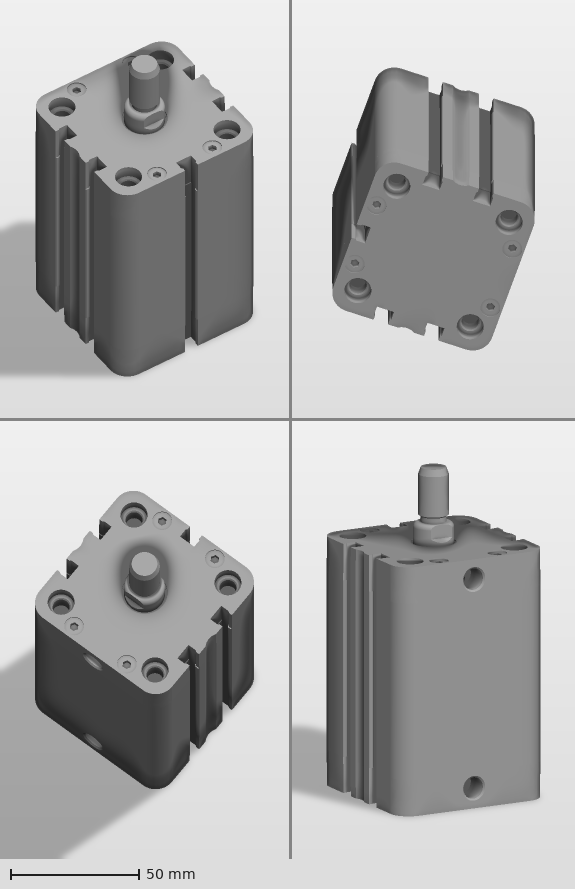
import cadquery as cq
import math

side = 65.5
corner_radius = 8.0
body_height = 100.0
cap_height = 14.5
barrel_height = body_height - 2 * cap_height
cap_draft_angle = 0.3

slot_offset = 10.4
slot_lip = 1.5
slot_cavity_width = 7.0
barrel_slot_opening = 5.2
barrel_slot_bevel = 0.4
barrel_slot_depth = 5.3
cap_slot_opening = barrel_slot_opening + 2 * barrel_slot_bevel
cap_slot_depth = 5.7
cutter_overrun = 1.3

groove_width = 6.9
groove_depth = 1.0
groove_radius = ((groove_width / 2) ** 2 + groove_depth**2) / (2 * groove_depth)

mount_offset = 23.1
counterbore_diameter = 10.5
counterbore_depth = 5.0
mount_thread_diameter = 6.6
mount_rim_diameter = 7.7
mount_hole_depth = 11.7

screw_x = 28.0
screw_y = 13.0
screw_head_diameter = 7.7
screw_recess_depth = 0.5
hex_across_flats = 3.1
hex_depth = 2.0

port_height = 8.0
port_diameter = 8.6
port_rim_diameter = 10.0
port_depth = 10.4
air_hole_diameter = 3.5
air_hole_offset = 2.2
air_hole_depth = 5.2

rod_top = 130.0
collar_diameter = 16.0
collar_top = 108.2
collar_fillet = 2.0
neck_diameter = 10.0
thread_bottom = 110.4
thread_diameter = 12.0
thread_tip_diameter = 10.0
thread_tip_height = 2.7
thread_end_height = 0.6
flat_spacing = 13.0
flat_bottom = 102.7
seal_diameter = 17.7
seal_rim_diameter = 18.0
seal_depth = 0.5
lip_diameter = 16.5
lip_depth = 1.0


def slot_cutter(opening, depth, height):
    """T-slot prism with its mouth at y = 0 and floor at y = depth, overrunning the mouth outward."""
    half_opening = opening / 2
    half_cavity = slot_cavity_width / 2
    shoulder = slot_lip + half_cavity - half_opening
    return (
        cq.Workplane("XY")
        .moveTo(-half_opening, -cutter_overrun)
        .lineTo(-half_opening, slot_lip)
        .lineTo(-half_cavity, shoulder)
        .lineTo(-half_cavity, depth)
        .lineTo(half_cavity, depth)
        .lineTo(half_cavity, shoulder)
        .lineTo(half_opening, slot_lip)
        .lineTo(half_opening, -cutter_overrun)
        .close()
        .extrude(height)
    )


def rounded_square(height, draft_angle):
    """Square prism with rounded corners, standing on z = 0 and narrowing upward by the draft."""
    outline = cq.Sketch().rect(side, side).vertices().fillet(corner_radius)
    return cq.Workplane("XY").placeSketch(outline).extrude(height, taper=draft_angle)


def cut_profile(block, height, slot):
    """Cut the five slots and two grooves along the sides of a block that stands on z = 0."""
    slot = slot.translate((0, -side / 2, 0))
    groove = (
        cq.Workplane("XY")
        .circle(groove_radius)
        .extrude(height)
        .translate((0, groove_depth - groove_radius - side / 2, 0))
    )
    slot_pair = slot.translate((-slot_offset, 0, 0)).union(slot.translate((slot_offset, 0, 0)))
    side_cutters = slot_pair.union(groove)
    for turn in (0, 180):
        block = block.cut(side_cutters.rotate((0, 0, 0), (0, 0, 1), turn))
    return block.cut(slot.rotate((0, 0, 0), (0, 0, 1), 90))


def cone(start_diameter, end_diameter, height):
    """Truncated cone rising from z = 0."""
    return cq.Workplane("XY").add(
        cq.Solid.makeCone(start_diameter / 2, end_diameter / 2, height)
    )


def mount_hole_cutter():
    """Counterbored hole going down from z = 0, with a bevelled inner rim."""
    bevel = (mount_rim_diameter - mount_thread_diameter) / 2
    counterbore = cq.Workplane("XY").circle(counterbore_diameter / 2).extrude(-counterbore_depth)
    hole = cq.Workplane("XY").circle(mount_thread_diameter / 2).extrude(-mount_hole_depth)
    rim = cone(mount_thread_diameter, mount_rim_diameter, bevel)
    return counterbore.union(hole).union(rim.translate((0, 0, -counterbore_depth - bevel)))


def screw_cutter():
    """Shallow round recess over a screw head with its hex socket, going down from z = 0."""
    recess = cq.Workplane("XY").circle(screw_head_diameter / 2).extrude(-screw_recess_depth)
    socket = (
        cq.Workplane("XY")
        .polygon(6, hex_across_flats, circumscribed=True)
        .extrude(-screw_recess_depth - hex_depth)
    )
    return recess.union(socket)


def port_cutter():
    """Bevelled blind port going in along +X from x = 0."""
    bevel = (port_rim_diameter - port_diameter) / 2
    hole = cq.Workplane("XY").circle(port_diameter / 2).extrude(port_depth)
    rim = cone(port_rim_diameter, port_diameter, bevel)
    return hole.union(rim).rotate((0, 0, 0), (0, 1, 0), 90)


def make_cap():
    """End cap with its outer face up at z = cap_height and its inner face on z = 0."""
    slot = slot_cutter(cap_slot_opening, cap_slot_depth, cap_height)
    cap = cut_profile(rounded_square(cap_height, cap_draft_angle), cap_height, slot)
    for x_sign in (-1, 1):
        for y_sign in (-1, 1):
            cap = cap.cut(
                mount_hole_cutter().translate((x_sign * mount_offset, y_sign * mount_offset, cap_height))
            )
            cap = cap.cut(screw_cutter().translate((x_sign * screw_x, y_sign * screw_y, cap_height)))
    return cap.cut(port_cutter().translate((-side / 2, 0, cap_height - port_height)))


def make_bottom_cap():
    """End cap turned over about the X axis so that its outer face is at z = 0."""
    return make_cap().rotate((0, 0, 0), (1, 0, 0), 180).translate((0, 0, cap_height))


def make_top_cap():
    """End cap with the rod hole, its stepped seal recess, and the air hole in the floor of the port."""
    rim_bevel = (seal_rim_diameter - seal_diameter) / 2
    rod_hole = cq.Workplane("XY").circle(collar_diameter / 2).extrude(cap_height)
    seal = cq.Workplane("XY").circle(seal_diameter / 2).extrude(-seal_depth)
    rim = cone(seal_diameter, seal_rim_diameter, rim_bevel).translate((0, 0, -rim_bevel))
    air_hole = (
        cq.Workplane("YZ")
        .circle(air_hole_diameter / 2)
        .extrude(air_hole_depth)
        .translate((port_depth - side / 2, 0, cap_height - port_height - air_hole_offset))
    )
    lip = cq.Workplane("XY").circle(lip_diameter / 2).extrude(-lip_depth)
    seal_cutter = seal.union(rim).union(lip).translate((0, 0, cap_height))
    cap = make_cap().cut(rod_hole).cut(seal_cutter).cut(air_hole)
    return cap.translate((0, 0, body_height - cap_height))


def make_barrel():
    """Extruded barrel between the caps, with bevelled slots slightly narrower than theirs."""
    slot = slot_cutter(barrel_slot_opening, barrel_slot_depth, barrel_height)
    half_opening = barrel_slot_opening / 2
    half_mouth = half_opening + barrel_slot_bevel
    mouth = (
        cq.Workplane("XY")
        .moveTo(-half_mouth, 0)
        .lineTo(-half_opening, barrel_slot_bevel)
        .lineTo(half_opening, barrel_slot_bevel)
        .lineTo(half_mouth, 0)
        .close()
        .extrude(barrel_height)
    )
    barrel = cut_profile(rounded_square(barrel_height, 0), barrel_height, slot.union(mouth))
    return barrel.translate((0, 0, cap_height))


def wrench_flat_cutter():
    """Cutter for the +X wrench flat, with a 45 degree run-out at its lower end."""
    reach = collar_diameter
    half_spacing = flat_spacing / 2
    return (
        cq.Workplane("XZ")
        .moveTo(half_spacing, flat_bottom)
        .lineTo(half_spacing, collar_top)
        .lineTo(half_spacing + reach, collar_top)
        .lineTo(half_spacing + reach, flat_bottom - reach)
        .close()
        .extrude(collar_diameter, both=True)
    )


def make_rod():
    """Turned rod: filleted collar with two wrench flats, neck, and threaded end."""
    collar_radius = collar_diameter / 2
    neck_radius = neck_diameter / 2
    thread_radius = thread_diameter / 2
    fillet_turn = collar_fillet * math.sqrt(0.5)
    rod = (
        cq.Workplane("XZ")
        .moveTo(0, body_height - cap_height)
        .lineTo(collar_radius, body_height - cap_height)
        .lineTo(collar_radius, collar_top - collar_fillet)
        .threePointArc(
            (collar_radius - collar_fillet + fillet_turn, collar_top - collar_fillet + fillet_turn),
            (collar_radius - collar_fillet, collar_top),
        )
        .lineTo(neck_radius, collar_top)
        .lineTo(neck_radius, thread_bottom)
        .lineTo(thread_radius, thread_bottom + thread_end_height)
        .lineTo(thread_radius, rod_top - thread_tip_height)
        .lineTo(thread_tip_diameter / 2, rod_top)
        .lineTo(0, rod_top)
        .close()
        .revolve(360, (0, 0, 0), (0, 1, 0))
    )
    flat = wrench_flat_cutter()
    return rod.cut(flat).cut(flat.mirror("YZ"))


bottom_cap = make_bottom_cap()
barrel = make_barrel()
top_cap = make_top_cap()
piston_rod = make_rod()

result = cq.Compound.makeCompound([bottom_cap.val(), barrel.val(), top_cap.val(), piston_rod.val()])